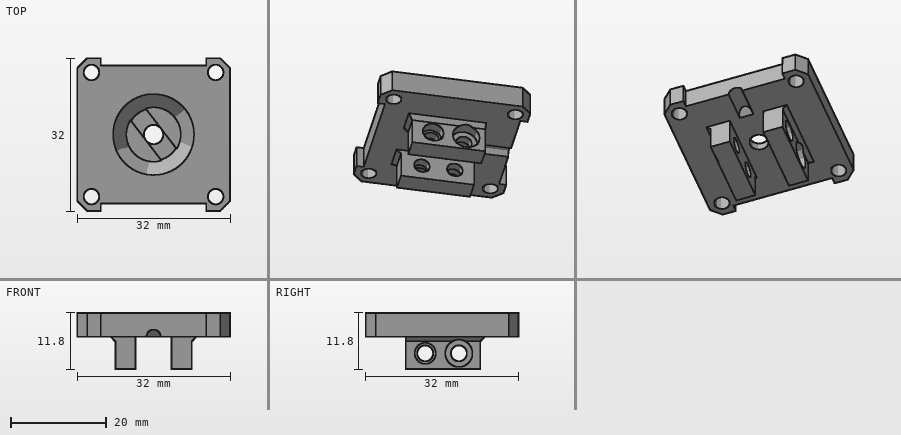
import cadquery as cq

plate_size = 32.0
plate_thickness = 5.0
corner_chamfer = 2.08
edge_notch_width = 22.0
edge_notch_depth = 1.55
mount_hole_diameter = 3.2
mount_hole_spacing = 26.0

dish_rim_diameter = 16.95
dish_floor_diameter = 11.4
dish_depth = 2.8
slot_width = 4.0
slot_depth = 0.2
slot_angle = -52.5
center_hole_diameter = 4.0

overall_height = 11.75
lug_drop = overall_height - plate_thickness
lug_inner_x = 3.75
lug_outer_x = 8.0
lug_front_y = -7.6
lug_back_y = 8.0
gusset_size = 0.95

groove_radius = 1.5
groove_end_y = lug_front_y

cross_hole_diameter = 3.3
cross_hole_y = 3.52
cross_hole_z = -3.45
small_counterbore_diameter = 4.4
large_counterbore_diameter = 5.7
counterbore_depth = 2.3


def make_plate():
    plate = (
        cq.Workplane("XY")
        .rect(plate_size, plate_size)
        .extrude(plate_thickness)
        .edges("|Z")
        .chamfer(corner_chamfer)
    )
    edge_notches = (
        cq.Workplane("XY")
        .pushPoints([(0, -plate_size / 2), (0, plate_size / 2)])
        .rect(edge_notch_width, 2 * edge_notch_depth)
        .extrude(plate_thickness)
    )
    mount_holes = (
        cq.Workplane("XY")
        .rect(mount_hole_spacing, mount_hole_spacing, forConstruction=True)
        .vertices()
        .circle(mount_hole_diameter / 2)
        .extrude(plate_thickness)
    )
    return plate.cut(edge_notches).cut(mount_holes)


def make_dish():
    rim_radius = dish_rim_diameter / 2
    wall_slope = (rim_radius - dish_floor_diameter / 2) / dish_depth
    slot_floor_z = plate_thickness - dish_depth - slot_depth
    slot_end_radius = rim_radius - (dish_depth + slot_depth) * wall_slope
    half_profile = [
        (0, slot_floor_z),
        (slot_end_radius, slot_floor_z),
        (rim_radius, plate_thickness),
        (0, plate_thickness),
    ]
    cone = cq.Workplane("XZ").polyline(half_profile).close().revolve()

    slot_level = cq.Workplane("XY", origin=(0, 0, slot_floor_z))
    slot = (
        slot_level.rect(dish_rim_diameter, slot_width)
        .extrude(slot_depth)
        .rotate((0, 0, 0), (0, 0, 1), slot_angle)
    )
    floor_beside_slot = slot_level.circle(rim_radius).extrude(slot_depth).cut(slot)
    return cone.cut(floor_beside_slot)


def make_groove():
    front_y = -plate_size / 2
    round_bar = (
        cq.Workplane("XZ", origin=(0, front_y, 0))
        .circle(groove_radius)
        .extrude(front_y - groove_end_y)
    )
    side_profile = [
        (front_y, 0),
        (groove_end_y, 0),
        (groove_end_y - groove_radius, groove_radius),
        (front_y, groove_radius),
    ]
    sloped_block = (
        cq.Workplane("YZ").polyline(side_profile).close().extrude(groove_radius, both=True)
    )
    return round_bar.intersect(sloped_block)


def make_gusset_outline(flare, z):
    corners = [
        (lug_inner_x, lug_front_y),
        (lug_inner_x, lug_back_y + flare),
        (lug_outer_x + flare, lug_back_y + flare),
        (lug_outer_x + flare, lug_front_y),
    ]
    return cq.Wire.makePolygon([cq.Vector(x, y, z) for x, y in corners], close=True)


def make_counterbored_hole(y, counterbore_diameter):
    hole = (
        cq.Workplane("YZ", origin=(0, y, cross_hole_z))
        .circle(cross_hole_diameter / 2)
        .extrude(lug_outer_x)
    )
    counterbore = (
        cq.Workplane("YZ", origin=(lug_outer_x - counterbore_depth, y, cross_hole_z))
        .circle(counterbore_diameter / 2)
        .extrude(counterbore_depth + gusset_size)
    )
    return hole.union(counterbore)


def make_right_lug(large_counterbore_y):
    lug = (
        cq.Workplane("XY", origin=(lug_inner_x, lug_front_y, -lug_drop))
        .box(lug_outer_x - lug_inner_x, lug_back_y - lug_front_y, lug_drop, centered=False)
    )
    gusset = cq.Solid.makeLoft(
        [make_gusset_outline(0, -gusset_size), make_gusset_outline(gusset_size, 0)], True
    )
    return (
        lug.union(cq.Workplane(gusset))
        .cut(make_counterbored_hole(large_counterbore_y, large_counterbore_diameter))
        .cut(make_counterbored_hole(-large_counterbore_y, small_counterbore_diameter))
    )


right_lug = make_right_lug(cross_hole_y)
left_lug = make_right_lug(-cross_hole_y).mirror("YZ")

center_hole = cq.Workplane("XY").circle(center_hole_diameter / 2).extrude(plate_thickness)

result = (
    make_plate()
    .cut(make_dish())
    .cut(center_hole)
    .cut(make_groove())
    .union(left_lug)
    .union(right_lug)
)